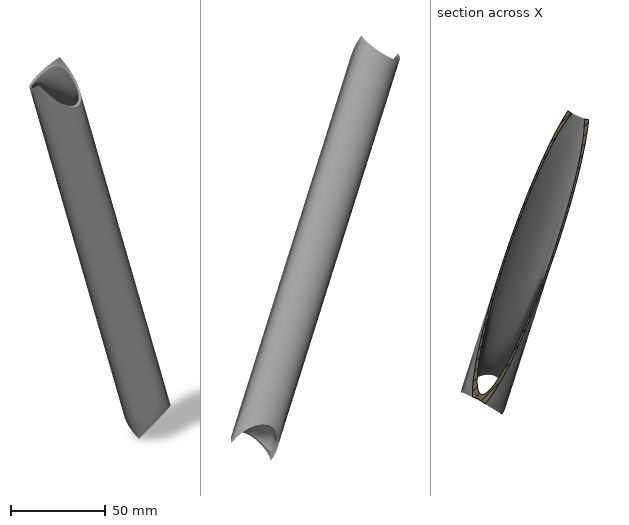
import cadquery as cq

outer_radius = 12.6
wall = 1.1
lean = cq.Vector(-0.119, -0.29, 1).normalized()

top_joint = 116.7
bottom_joint = -116.7
top_mate_direction = cq.Vector(1, 0.13, -0.35)
bottom_mate_direction = cq.Vector(1, -0.08, 0)

margin = 34.5
reach = 137.9


def make_tube():
    """Straight hollow tube running past both joints."""
    start = lean * (bottom_joint - margin)
    length = top_joint - bottom_joint + 2 * margin
    plane = cq.Plane(origin=start.toTuple(), normal=lean.toTuple())
    profile = cq.Workplane(plane).circle(outer_radius).circle(outer_radius - wall)
    return profile.extrude(length)


def make_cope(joint, mate_direction):
    """Mating cylinder of equal radius, plus everything on the far side of its axis."""
    center = lean * joint
    axis = mate_direction.normalized()
    outward = lean if joint > 0 else lean * -1
    across = outward - axis * outward.dot(axis)
    plane = cq.Plane(origin=center.toTuple(), xDir=across.toTuple(), normal=axis.toTuple())
    cylinder = cq.Workplane(plane).circle(outer_radius).extrude(reach / 2, both=True)
    beyond = cq.Workplane(plane).center(reach / 2, 0).rect(reach, reach).extrude(reach / 2, both=True)
    return cylinder.union(beyond)


result = make_tube()
result = result.cut(make_cope(top_joint, top_mate_direction))
result = result.cut(make_cope(bottom_joint, bottom_mate_direction))